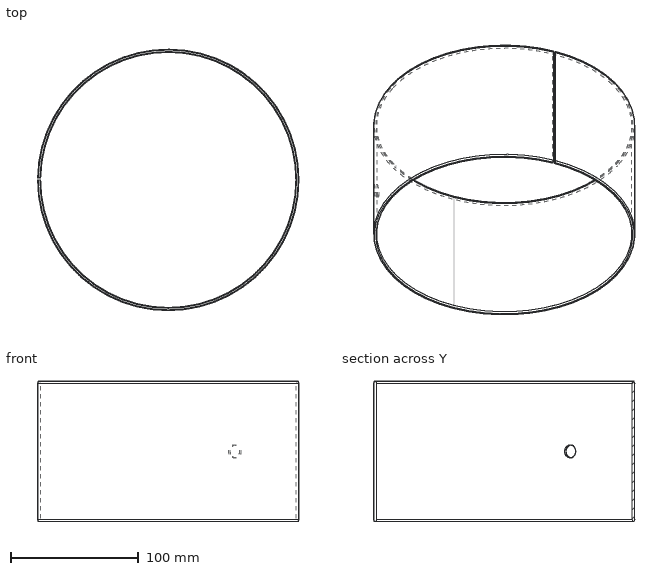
import cadquery as cq

outer_diameter = 205.0
height = 110.0
wall = 2.5
slit_width = 1.6
hole_diameter = 10.0
hole_angle = 58.9
bevel_height = 1.6
bevel_depth = 0.6

outer_radius = outer_diameter / 2
inner_radius = outer_radius - wall
half_height = height / 2


def make_ring():
    """Revolve the wall section, bevelled on all four rim edges, about Z."""
    shoulder = half_height - bevel_height
    rim_inner = inner_radius + bevel_depth
    rim_outer = outer_radius - bevel_depth
    section = [
        (inner_radius, -shoulder),
        (rim_inner, -half_height),
        (rim_outer, -half_height),
        (outer_radius, -shoulder),
        (outer_radius, shoulder),
        (rim_outer, half_height),
        (rim_inner, half_height),
        (inner_radius, shoulder),
    ]
    return cq.Workplane("XZ").polyline(section).close().revolve(360, (0, 0, 0), (0, 1, 0))


def make_slit():
    """Full-height cut through the -X wall, with one face on the XZ plane and the other towards +Y."""
    blade = cq.Workplane("XY").box(outer_diameter, slit_width, height)
    return blade.translate((-outer_radius, slit_width / 2, 0))


def make_hole():
    """Radial drill at mid-height that passes through one side of the wall."""
    drill = cq.Workplane("YZ").circle(hole_diameter / 2).extrude(outer_diameter)
    return drill.rotate((0, 0, 0), (0, 0, 1), hole_angle)


result = make_ring().cut(make_slit()).cut(make_hole())